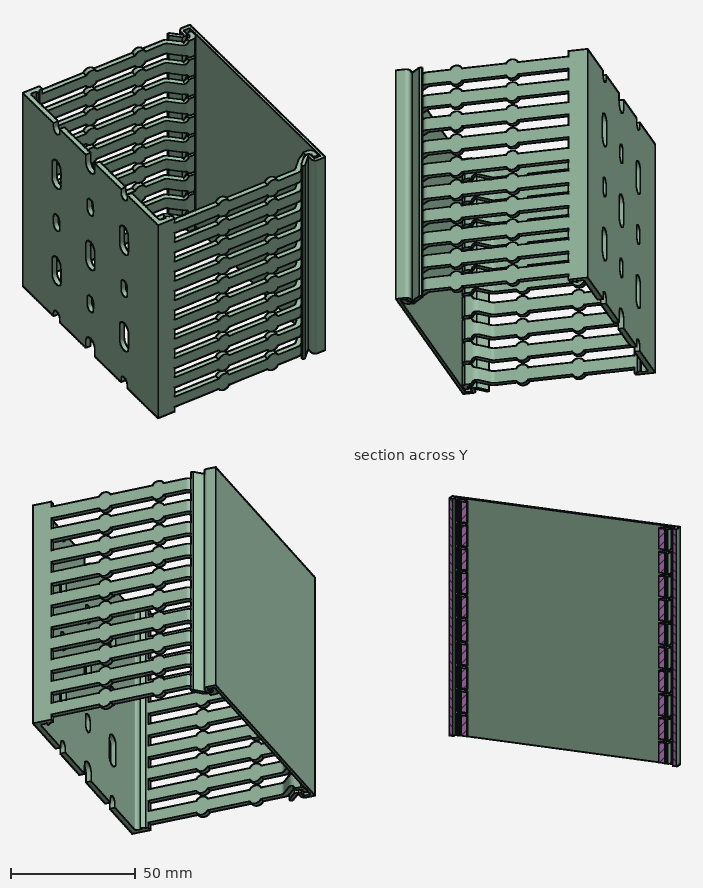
import cadquery as cq
import math

width = 100.3
depth = 80.0
length = 100.0
half_width = width / 2
half_length = length / 2

wall = 2.3
base = wall
base_fillet = 0.8
bend_start = 67.0
bend_radius = 2.4
inner_bend_radius = 2.0
bend_angle = math.radians(45)
bend_tangent = bend_radius * math.tan(bend_angle / 2)
slope_start = bend_start + bend_tangent

barb_low = 5.1
barb_high = 6.8
barb_reach = 1.4

hook_inner = 7.9
hook_thickness = 1.9
hook_round = 4.0
ledge_y = 73.1
hook_bevel = 1.5
hook_tip_in = 2.9
hook_tip_y = 77.6
hook_tip_top_in = 3.4
hook_tip_low_in = 4.0
hook_tip_low_y = 76.2
hook_under_y = 76.7
hook_under_in = 5.0

lid_thickness = 1.3
lid_side = 1.8
lid_round = 1.9
lid_lip_top = 75.8
lid_lip_bottom = 74.4
lid_lip_in = 4.1
lid_nose_in = ledge_y - slope_start
lid_nose_y = 75.0
lid_skirt = 1.6
lid_foot_y = 69.2

finger_count = 10
pitch = length / finger_count
slot_count = finger_count + 1
slot_height = 4.7
slot_bottom = 8.0
slot_top = 74.5
bump_places = (31.5, 54.9)
bump_chord = 5.0
bump_rise = 1.5
slit_height = 1.2

hole_pitch = 25.0
large_hole = (6.5, 14.0)
small_hole = (4.5, 8.0)


def place(inset, y):
    """Point at a distance inward from the left outer face."""
    return (inset - half_width, y)


def extrude_length(outline):
    return outline.extrude(half_length, both=True)


def on_slope(y):
    """Inset of the outer face of the 45-degree sloped wall at a given y."""
    return y - slope_start


def make_channel_half():
    lid_underside = depth - lid_thickness
    slope_offset = wall / math.sin(bend_angle)
    hook_outer = hook_inner - hook_thickness
    bend_mid = bend_radius * (1 - math.cos(bend_angle / 2))
    bend_end = bend_radius * (1 - math.cos(bend_angle))
    round_tangent = hook_round * math.tan(bend_angle / 2)
    round_corner_y = slope_start + hook_inner - slope_offset
    round_start_y = round_corner_y + round_tangent
    round_center_in = hook_inner - hook_round

    def round_point(angle):
        return place(
            round_center_in + hook_round * math.cos(angle),
            round_start_y - hook_round * math.sin(angle),
        )

    inner_bend_y = (
        slope_start + wall - slope_offset - inner_bend_radius * math.tan(bend_angle / 2)
    )

    def inner_bend_point(angle):
        return place(
            wall + inner_bend_radius * (1 - math.cos(angle)),
            inner_bend_y + inner_bend_radius * math.sin(angle),
        )

    outline = (
        cq.Workplane("XY")
        .moveTo(0, 0)
        .lineTo(*place(0, 0))
        .lineTo(*place(0, bend_start))
        .threePointArc(
            place(bend_mid, bend_start + bend_radius * math.sin(bend_angle / 2)),
            place(bend_end, bend_start + bend_radius * math.sin(bend_angle)),
        )
        .lineTo(*place(on_slope(ledge_y), ledge_y))
        .lineTo(*place(hook_outer, ledge_y))
        .lineTo(*place(hook_outer, hook_under_y - (hook_outer - hook_under_in)))
        .lineTo(*place(hook_under_in, hook_under_y))
        .lineTo(*place(hook_tip_low_in, hook_tip_low_y))
        .lineTo(*place(hook_tip_in, hook_tip_y))
        .lineTo(*place(hook_tip_top_in, lid_underside))
        .lineTo(*place(hook_inner - hook_bevel, lid_underside))
        .lineTo(*place(hook_inner, lid_underside - hook_bevel))
        .lineTo(*round_point(0))
        .threePointArc(round_point(bend_angle / 2), round_point(bend_angle))
        .lineTo(*inner_bend_point(bend_angle))
        .threePointArc(inner_bend_point(bend_angle / 2), inner_bend_point(0))
        .lineTo(*place(wall, barb_high))
        .lineTo(*place(wall + barb_reach, barb_low))
        .lineTo(*place(wall, barb_low))
        .lineTo(*place(wall, base + base_fillet))
        .radiusArc(place(wall + base_fillet, base), -base_fillet)
        .lineTo(0, base)
        .close()
    )
    return extrude_length(outline)


def make_lid_half():
    lid_underside = depth - lid_thickness
    lip_mid = lid_round * (1 - math.sqrt(0.5))
    skirt_start = slope_start + lid_skirt / math.sin(bend_angle)
    outline = (
        cq.Workplane("XY")
        .moveTo(0, depth)
        .lineTo(*place(0, depth))
        .lineTo(*place(0, lid_lip_bottom + lid_round))
        .threePointArc(place(lip_mid, lid_lip_bottom + lip_mid), place(lid_round, lid_lip_bottom))
        .lineTo(*place(lid_lip_bottom - skirt_start, lid_lip_bottom))
        .lineTo(*place(0, skirt_start))
        .lineTo(*place(0, lid_foot_y))
        .lineTo(*place(on_slope(lid_foot_y), lid_foot_y))
        .lineTo(*place(lid_nose_in, ledge_y))
        .lineTo(*place(lid_nose_in, lid_nose_y))
        .lineTo(*place(lid_lip_in, lid_lip_top))
        .lineTo(*place(lid_side, lid_lip_top))
        .lineTo(*place(lid_side, lid_underside))
        .lineTo(0, lid_underside)
        .close()
    )
    return extrude_length(outline)


def mirrored(half):
    return half.union(half.mirror("YZ"))


def make_slot_cutter(z):
    """Cutter through both side walls, pinched by the bumps on the fingers."""
    half_slot = slot_height / 2
    half_chord = bump_chord / 2
    outline = cq.Workplane("YZ", origin=(0, 0, z)).moveTo(slot_bottom, -half_slot)
    for y in bump_places:
        outline = outline.lineTo(y - half_chord, -half_slot).threePointArc(
            (y, bump_rise - half_slot), (y + half_chord, -half_slot)
        )
    outline = outline.lineTo(slot_top - half_slot, -half_slot).threePointArc(
        (slot_top, 0), (slot_top - half_slot, half_slot)
    )
    for y in reversed(bump_places):
        outline = outline.lineTo(y + half_chord, half_slot).threePointArc(
            (y, half_slot - bump_rise), (y - half_chord, half_slot)
        )
    return outline.lineTo(slot_bottom, half_slot).close().extrude(half_width, both=True)


def make_slit_cutter(z):
    """Thin cutter that carries a slot on through the hooks."""
    slit_bottom = slot_top - slot_height / 2
    slit_depth = depth - slit_bottom
    return cq.Workplane("XY").box(width, slit_depth, slit_height).translate(
        (0, slit_bottom + slit_depth / 2, z)
    )


def cut_side_slots(channel):
    for index in range(slot_count):
        z = index * pitch - half_length
        channel = channel.cut(make_slot_cutter(z)).cut(make_slit_cutter(z))
    return channel


def cut_mounting_holes(channel):
    """Large and small holes alternate over a grid; the end rows are halved by the duct ends."""
    for column in range(-1, 2):
        for row in range(-2, 3):
            hole_width, hole_length = small_hole if (column + row) % 2 else large_hole
            cutter = (
                cq.Workplane("XZ", origin=(column * hole_pitch, base, row * hole_pitch))
                .slot2D(hole_length, hole_width, 90)
                .extrude(base)
            )
            channel = channel.cut(cutter)
    return channel


channel = cut_mounting_holes(cut_side_slots(mirrored(make_channel_half())))
lid = mirrored(make_lid_half())

result = cq.Compound.makeCompound([channel.val(), lid.val()])